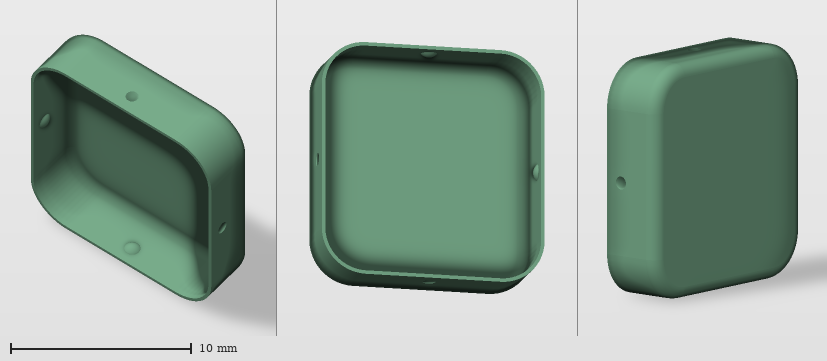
import cadquery as cq

width = 12.7
height = 13.2
depth = 3.5
wall = 0.2
corner_radius = 2.5
floor_radius = 0.7

detent_from_rim = 1.0
detent_depth = 0.2
dimple_radius = 0.43
quarter_turn = 90


def rounded_block(inset):
    """Solid bounded by the outer faces moved inwards by the inset; its open end is at Y = 0."""
    return (
        cq.Workplane("XZ")
        .rect(width - 2 * inset, height - 2 * inset)
        .extrude(-(depth - inset))
        .edges("|Y")
        .fillet(corner_radius - inset)
        .faces(">Y")
        .edges()
        .fillet(floor_radius - inset)
    )


def detent_spheres(radius):
    """One sphere per side, centred outside the side so that the hollow has the detent depth."""
    centre_offset = dimple_radius - detent_depth
    spheres = cq.Workplane("XZ")
    for side_number, size in enumerate([width, height, width, height]):
        sphere = (
            cq.Workplane("XZ", origin=(size / 2 + centre_offset, detent_from_rim, 0))
            .sphere(radius)
            .rotate((0, 0, 0), (0, 1, 0), quarter_turn * side_number)
        )
        spheres = spheres.add(sphere)
    return spheres.combine()


outer = rounded_block(0)
shell = outer.cut(rounded_block(wall))
bumps = detent_spheres(dimple_radius + wall).intersect(outer)
result = shell.union(bumps).cut(detent_spheres(dimple_radius))